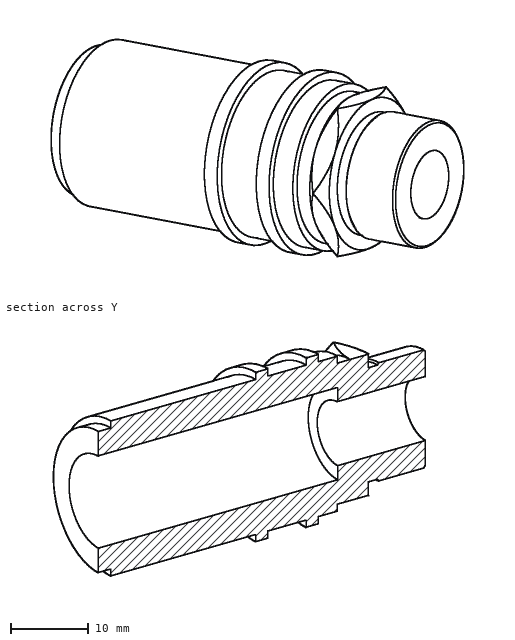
import cadquery as cq
import math

total_length = 52.0
body_start = 2.0
collar_width = 2.0
collar_starts = (25.0, 33.0)
body_end = 38.0
hex_start = 40.0
hex_end = 43.0
plug_start = 44.35

tip_diameter = 20.0
body_diameter = 22.0
collar_diameter = 24.0
plug_diameter = 16.8
groove_diameter = 16.2
hex_across_flats = tip_diameter
through_bore_diameter = 9.0
wide_bore_diameter = 13.0

plug_front_chamfer_length = 0.2
plug_chamfer_depth = (plug_diameter - groove_diameter) / 2

wide_bore_depth = body_end


def cylinder(start, end, diameter):
    """Solid cylinder along the X axis between two X positions."""
    return cq.Workplane("YZ", origin=(start, 0, 0)).circle(diameter / 2).extrude(end - start)


def make_hex_nut():
    """Hexagon with corners on +-Y, bevelled by two cones that meet at mid-width."""
    corner_diameter = hex_across_flats / math.cos(math.pi / 6)
    prism = (
        cq.Workplane("YZ", origin=(hex_start, 0, 0))
        .polygon(6, corner_diameter)
        .extrude(hex_end - hex_start)
    )
    bevel_profile = [
        (hex_start, 0),
        (hex_start, hex_across_flats / 2),
        ((hex_start + hex_end) / 2, corner_diameter / 2),
        (hex_end, hex_across_flats / 2),
        (hex_end, 0),
    ]
    bevel_cones = cq.Workplane("XY").polyline(bevel_profile).close().revolve(360, (0, 0, 0), (1, 0, 0))
    return prism.intersect(bevel_cones)


def make_plug():
    """Round plug at the +X end, chamfered down to the groove diameter at both ends."""
    plug = cylinder(plug_start, total_length, plug_diameter)
    plug = plug.faces("<X").chamfer(plug_front_chamfer_length, plug_chamfer_depth)
    return plug.faces(">X").chamfer(plug_chamfer_depth)


result = cylinder(0, hex_start, tip_diameter)
result = result.union(cylinder(body_start, body_end, body_diameter))
for collar_start in collar_starts:
    result = result.union(cylinder(collar_start, collar_start + collar_width, collar_diameter))
result = result.union(make_hex_nut())
result = result.union(cylinder(hex_end, plug_start, groove_diameter))
result = result.union(make_plug())

result = result.cut(cylinder(0, total_length, through_bore_diameter))
result = result.cut(cylinder(0, wide_bore_depth, wide_bore_diameter))